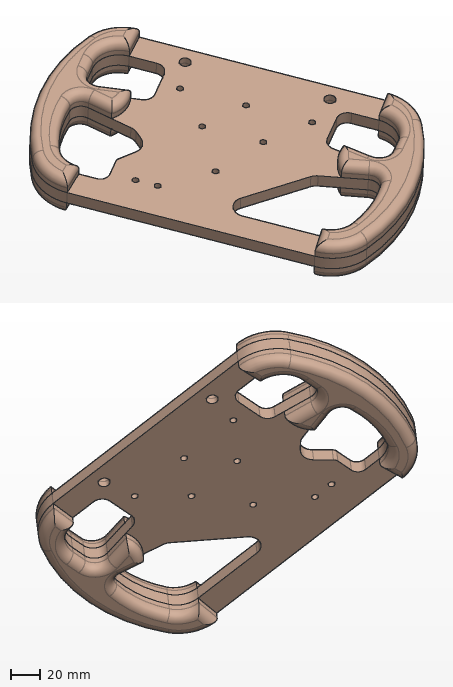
import cadquery as cq
import math

wheel_width = 270.0
wheel_height = 160.0
tilt_angle = 7.0
plate_thickness = 10.0
overall_thickness = 33.0
grip_rounding = 7.0

half_width = wheel_width / 2
half_height = wheel_height / 2
plate_top = plate_thickness / 2
grip_thickness = (overall_thickness - plate_thickness) / 2

outer_corner_radius = 35.0
outer_corner_x = 89.0
outer_corner_y = half_height - outer_corner_radius

rail_width = 20.0
opening_edge_y = half_height - rail_width
spoke_upper_slope = math.radians(10.0)
spoke_lower_slope = math.radians(14.0)

upper_inner_x = 62.0
upper_outer_x = 110.0
upper_rail_corner_radius = 20.0
upper_spoke_corner_radius = 10.3
upper_inner_corner_radius = 8.0
upper_corner_y = 16.0

lower_outer_x = 112.3
lower_spoke_corner_radius = 9.0
rim_radius = 83.7
rim_corner_radius = 19.2
rim_corner_x = 87.2
rim_spoke_angle = math.radians(6.3)

spoke_root_x = 64.8
spoke_root_radius = 10.0
brace_slope = math.radians(43.3)
brace_foot_radius = 9.2

notch_tip = (51.0, -19.2)
notch_tip_radius = 10.0
notch_foot_radius = 4.9
notch_wall_x = 67.2
notch_wall_top_y = -38.0
notch_wall_corner_radius = 7.0

upper_grip_end_x = upper_outer_x - upper_rail_corner_radius
lower_grip_end_x = rim_corner_x
spoke_end_radius = 24.3
spoke_end_center = (100.0, 15.7)

rail_hole_diameter = 8.0
rail_hole_x = 52.0
rail_hole_y = 67.8
small_hole_diameter = 4.5
hub_circle_radius = 25.5
hub_hole_angles = (30, 150, 270)
upper_hole_spacing = 47.5
upper_hole_y = 42.5
lower_left_holes_x = (-49.0, -33.0)
lower_left_holes_y = -52.5

shortest_line = 0.003
grip_area_margin = 13.5


def rounded_polygon(corners):
    """Closed outline through sharp corners (x, y, radius), each replaced by a tangent arc."""
    arcs = []
    for index, (x, y, radius) in enumerate(corners):
        here = cq.Vector(x, y)
        before = corners[index - 1]
        after = corners[(index + 1) % len(corners)]
        to_before = (cq.Vector(before[0], before[1]) - here).normalized()
        to_after = (cq.Vector(after[0], after[1]) - here).normalized()
        half_angle = to_before.getAngle(to_after) / 2
        setback = radius / math.tan(half_angle)
        middle_distance = radius / math.sin(half_angle) - radius
        middle = here + (to_before + to_after).normalized() * middle_distance
        arcs.append((here + to_before * setback, middle, here + to_after * setback))

    outline = cq.Workplane("XY").moveTo(arcs[0][0].x, arcs[0][0].y)
    pen = arcs[0][0]
    for start, middle, end in arcs:
        if (start - pen).Length > shortest_line:
            outline = outline.lineTo(start.x, start.y)
        outline = outline.threePointArc((middle.x, middle.y), (end.x, end.y))
        pen = end
    return outline.close()


def outer_outline():
    """Outline of the whole wheel, its bowed sides tangent to the corner arcs."""
    reach = half_width - outer_corner_radius
    corner_gap = reach - outer_corner_x
    side_radius = outer_corner_radius + (corner_gap**2 + outer_corner_y**2) / (2 * corner_gap)
    side_center_x = half_width - side_radius
    seam_angle = math.atan2(outer_corner_y, outer_corner_x - side_center_x)
    middle_angle = (seam_angle + math.pi / 2) / 2

    def on_corner(angle):
        x = outer_corner_x + outer_corner_radius * math.cos(angle)
        y = outer_corner_y + outer_corner_radius * math.sin(angle)
        return x, y

    seam_x, seam_y = on_corner(seam_angle)
    middle_x, middle_y = on_corner(middle_angle)
    return (
        cq.Workplane("XY")
        .moveTo(-outer_corner_x, half_height)
        .lineTo(outer_corner_x, half_height)
        .threePointArc((middle_x, middle_y), (seam_x, seam_y))
        .threePointArc((half_width, 0), (seam_x, -seam_y))
        .threePointArc((middle_x, -middle_y), (outer_corner_x, -half_height))
        .lineTo(-outer_corner_x, -half_height)
        .threePointArc((-middle_x, -middle_y), (-seam_x, -seam_y))
        .threePointArc((-half_width, 0), (-seam_x, seam_y))
        .threePointArc((-middle_x, middle_y), (-outer_corner_x, half_height))
        .close()
    )


def through_cutter(outline):
    """Cutter through the full height of the wheel."""
    return outline.extrude(overall_thickness, both=True)


def upper_opening():
    inner_y = upper_corner_y + (upper_outer_x - upper_inner_x) * math.tan(spoke_upper_slope)
    return through_cutter(
        rounded_polygon(
            [
                (upper_inner_x, opening_edge_y, upper_inner_corner_radius),
                (upper_inner_x, inner_y, upper_inner_corner_radius),
                (upper_outer_x, upper_corner_y, upper_spoke_corner_radius),
                (upper_outer_x, opening_edge_y, upper_rail_corner_radius),
            ]
        )
    )


def tangent_corner(center, radius, first_angle, second_angle):
    """Sharp corner whose tangent arc has this centre and radius and spans these two angles."""
    middle_angle = (first_angle + second_angle) / 2
    distance = radius / math.cos((second_angle - first_angle) / 2)
    x = center[0] + distance * math.cos(middle_angle)
    y = center[1] + distance * math.sin(middle_angle)
    return x, y, radius


def lower_opening_rim_corners():
    """Corners that the +X lower opening and the -X one share, from the rail to the spoke root."""
    rim_center_x = lower_outer_x - rim_radius
    to_rail_center = rim_radius - rim_corner_radius
    rim_rail_angle = -math.acos((rim_corner_x - rim_center_x) / to_rail_center)
    rail_center = (rim_corner_x, rim_corner_radius - opening_edge_y)
    rim_center = (rim_center_x, rail_center[1] - to_rail_center * math.sin(rim_rail_angle))
    to_spoke_center = rim_radius - lower_spoke_corner_radius
    spoke_center = (
        rim_center[0] + to_spoke_center * math.cos(rim_spoke_angle),
        rim_center[1] + to_spoke_center * math.sin(rim_spoke_angle),
    )
    spoke_normal = math.pi / 2 + spoke_lower_slope
    spoke_corner = tangent_corner(
        spoke_center, lower_spoke_corner_radius, rim_spoke_angle, spoke_normal
    )
    spoke_root_y = spoke_corner[1] - (spoke_corner[0] - spoke_root_x) * math.tan(spoke_lower_slope)
    return [
        tangent_corner(rail_center, rim_corner_radius, -math.pi / 2, rim_rail_angle),
        tangent_corner(rim_center, rim_radius, rim_rail_angle, rim_spoke_angle),
        spoke_corner,
        (spoke_root_x, spoke_root_y, spoke_root_radius),
    ]


def braced_lower_opening():
    """Lower opening on the +X side, with a long diagonal edge."""
    corners = lower_opening_rim_corners()
    brace_x, brace_y, _ = corners[-1]
    foot_x = brace_x - (brace_y + opening_edge_y) / math.tan(brace_slope)
    foot = (foot_x, -opening_edge_y, brace_foot_radius)
    return through_cutter(rounded_polygon(corners + [foot]))


def notched_lower_opening():
    """Lower opening on the -X side, with a notch towards the hub."""
    corners = lower_opening_rim_corners() + [
        (*notch_tip, notch_tip_radius),
        (notch_wall_x, notch_wall_top_y, notch_foot_radius),
        (notch_wall_x, -opening_edge_y, notch_wall_corner_radius),
    ]
    return through_cutter(rounded_polygon(corners)).mirror("YZ")


def make_plate():
    """Flat plate with its four openings and all its screw holes."""
    plate = outer_outline().extrude(plate_top, both=True)
    right_upper = upper_opening()
    plate = plate.cut(right_upper).cut(right_upper.mirror("YZ"))
    plate = plate.cut(braced_lower_opening()).cut(notched_lower_opening())

    rail_holes = [(side * rail_hole_x, rail_hole_y) for side in (-1, 1)]
    small_holes = [(column * upper_hole_spacing, upper_hole_y) for column in (-1, 0, 1)]
    small_holes += [(x, lower_left_holes_y) for x in lower_left_holes_x]
    for angle in map(math.radians, hub_hole_angles):
        small_holes.append((hub_circle_radius * math.cos(angle), hub_circle_radius * math.sin(angle)))
    for places, diameter in ((rail_holes, rail_hole_diameter), (small_holes, small_hole_diameter)):
        holes = cq.Workplane("XY").pushPoints(places).circle(diameter / 2)
        plate = plate.cut(through_cutter(holes))
    return plate


def grip_area():
    """Region on the +X side that the grips cover, bounded by the ends of the rails and the spoke."""
    beyond = half_width + grip_area_margin
    center_x, center_y = spoke_end_center
    rim_side = (
        cq.Workplane("XY")
        .moveTo(beyond, half_height)
        .lineTo(outer_corner_x, half_height)
        .lineTo(upper_grip_end_x, opening_edge_y)
        .lineTo(center_x, center_y)
        .lineTo(lower_grip_end_x, -opening_edge_y)
        .lineTo(outer_corner_x, -half_height)
        .lineTo(beyond, -half_height)
        .close()
        .extrude(grip_thickness)
    )
    spoke_end = cq.Workplane("XY").center(center_x, center_y).circle(spoke_end_radius)
    return rim_side.union(spoke_end.extrude(grip_thickness))


def make_grip(side, face):
    """Half grip on one side (+1 or -1 along X) of one face (+1 or -1 along Z) of the plate."""
    grip = outer_outline().extrude(grip_thickness).intersect(grip_area())
    grip = grip.cut(upper_opening()).cut(braced_lower_opening())
    grip = grip.faces(">Z").edges().fillet(grip_rounding)
    grip = grip.translate((0, 0, plate_top))
    if side < 0:
        grip = grip.mirror("YZ")
    if face < 0:
        grip = grip.mirror("XY")
    return grip


def tilted(body):
    """The body leaned back so that its -Y edge is the higher one."""
    return body.rotate((0, 0, 0), (1, 0, 0), -tilt_angle)


plate = tilted(make_plate())
grips = [tilted(make_grip(side, face)) for side in (-1, 1) for face in (-1, 1)]

result = cq.Compound.makeCompound([plate.val(), *[grip.val() for grip in grips]])